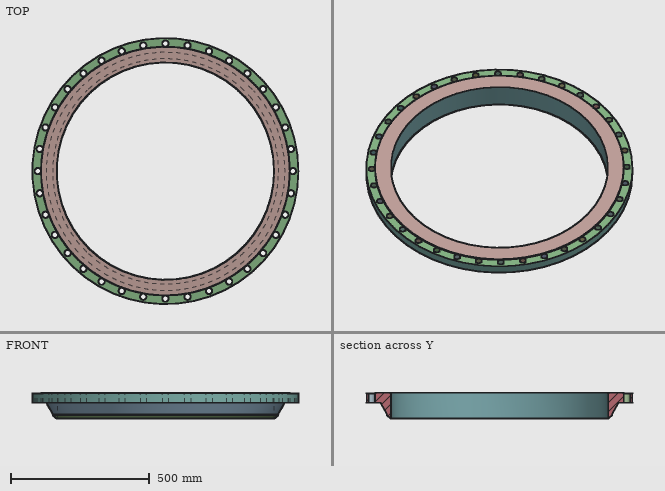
import cadquery as cq

outer_diameter = 959.0
total_height = 94.0
bore_diameter = 781.0

plate_thickness = 34.5
face_height = 3.0
face_diameter = 895.0
face_root_flare = 1.0

hub_top_diameter = 859.0
hub_end_diameter = 813.0
weld_land_width = 2.0
bevel_height = 11.5
weld_neck_height = 5.0

bolt_count = 36
bolt_circle_diameter = 919.0
bolt_hole_diameter = 22.0

face_underside = total_height - face_height
plate_underside = face_underside - plate_thickness
taper_bottom = bevel_height + weld_neck_height


def make_flange_body():
    """Revolve the weld-neck section around the Z axis."""
    bore_radius = bore_diameter / 2
    section = (
        cq.Workplane("XZ")
        .moveTo(bore_radius, 0)
        .lineTo(bore_radius + weld_land_width, 0)
        .lineTo(hub_end_diameter / 2, bevel_height)
        .lineTo(hub_end_diameter / 2, taper_bottom)
        .lineTo(hub_top_diameter / 2, plate_underside)
        .lineTo(outer_diameter / 2, plate_underside)
        .lineTo(outer_diameter / 2, face_underside)
        .lineTo(face_diameter / 2 + face_root_flare, face_underside)
        .lineTo(face_diameter / 2, total_height)
        .lineTo(bore_radius, total_height)
        .close()
    )
    return section.revolve(360, (0, 0, 0), (0, 1, 0))


def make_bolt_holes():
    """Cylinders through the full height, one of them on the X axis."""
    return (
        cq.Workplane("XY")
        .polarArray(bolt_circle_diameter / 2, 0, 360, bolt_count)
        .circle(bolt_hole_diameter / 2)
        .extrude(total_height)
    )


result = make_flange_body().cut(make_bolt_holes())